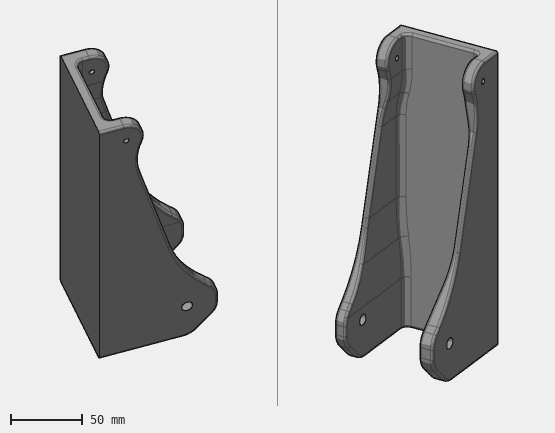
import cadquery as cq
import math

WIDTH = 80.0
DEPTH = 88.0
HEIGHT = 229.5

BACK_THICKNESS = 8.0
TOP_WALL = 9.99
MIDDLE_WALL = 5.0
LEFT_BOTTOM_WALL = 11.2
RIGHT_BOTTOM_WALL = 9.2
INNER_CORNER_RADIUS = 5.0
EDGE_RADIUS = 2.0

LOWER_BEND = (40.0, 101.5)
UPPER_BEND = (165.3, 202.0)

BOTTOM_HOLE_DIAMETER = 8.3
BOTTOM_HOLE_Y = 65.0
BOTTOM_HOLE_Z = 30.0
BEVEL = 20.0
BEVEL_RADIUS = 15.0

SLOPE_ANGLE = math.radians(15)
SLOPE_FOOT_Y = 60.0
SLOPE_FOOT_RADIUS = 103.3

TOP_HOLE_DIAMETER = 4.0
TOP_HOLE_Y = 20.0
TOP_HOLE_Z = 214.7
EAR_RADIUS = 15.0
EAR_CENTRE_Y = 18.1
EAR_CENTRE = cq.Vector(EAR_CENTRE_Y, HEIGHT - EAR_RADIUS)
NECK_RADIUS = 48.2

CUT_MARGIN = 11.5


def unit(angle):
    return cq.Vector(math.cos(angle), math.sin(angle))


def xy(point):
    return point.x, point.y


def rounded_corner(before, corner, after, radius):
    """Start, middle and end of the arc that rounds a corner of an outline."""
    back = (before - corner).normalized()
    ahead = (after - corner).normalized()
    half_angle = back.getAngle(ahead) / 2
    setback = radius / math.tan(half_angle)
    centre_distance = radius / math.sin(half_angle)
    middle = corner + (back + ahead).normalized() * (centre_distance - radius)
    return corner + back * setback, middle, corner + ahead * setback


def side_outline():
    """Side wall outline, with local x along Y and local y along Z."""
    upper_bevel_z = 2 * BOTTOM_HOLE_Z - BEVEL
    slope_foot = cq.Vector(SLOPE_FOOT_Y, upper_bevel_z + DEPTH - SLOPE_FOOT_Y)
    uphill = unit(math.pi / 2 + SLOPE_ANGLE)
    outward = unit(SLOPE_ANGLE)

    ear_offset = (EAR_CENTRE - slope_foot).dot(outward)
    across = NECK_RADIUS - ear_offset
    along = math.sqrt((NECK_RADIUS + EAR_RADIUS) ** 2 - across**2)
    neck_centre = EAR_CENTRE + outward * across - uphill * along
    neck_start = neck_centre - outward * NECK_RADIUS
    ear_direction = (neck_centre - EAR_CENTRE).normalized()
    neck_end = EAR_CENTRE + ear_direction * EAR_RADIUS
    ear_top = EAR_CENTRE + cq.Vector(0, EAR_RADIUS)

    corners = [
        cq.Vector(0, 0),
        cq.Vector(DEPTH - BEVEL, 0),
        cq.Vector(DEPTH, BEVEL),
        cq.Vector(DEPTH, upper_bevel_z),
        slope_foot,
        neck_start,
    ]
    radii = [BEVEL_RADIUS, BEVEL_RADIUS, BEVEL_RADIUS, SLOPE_FOOT_RADIUS]

    outline = cq.Workplane("YZ", origin=(-WIDTH / 2, 0, 0)).moveTo(0, 0)
    for before, corner, after, radius in zip(corners, corners[1:], corners[2:], radii):
        start, middle, end = rounded_corner(before, corner, after, radius)
        outline = outline.lineTo(*xy(start))
        outline = outline.threePointArc(xy(middle), xy(end))
    outline = outline.lineTo(*xy(neck_start))
    outline = outline.tangentArcPoint(xy(neck_end), relative=False)
    outline = outline.tangentArcPoint(xy(ear_top), relative=False)
    return outline.lineTo(0, HEIGHT).close()


def bend(profile, start, end):
    """Add an S-bend of two equal arcs between two upright lines."""
    middle = ((start[0] + end[0]) / 2, (start[1] + end[1]) / 2)
    profile = profile.lineTo(*start)
    profile = profile.tangentArcPoint(middle, relative=False)
    return profile.tangentArcPoint(end, relative=False)


def channel():
    """Space between the side walls, open at the top, bottom and +Y side."""
    left_bottom = -WIDTH / 2 + LEFT_BOTTOM_WALL
    right_bottom = WIDTH / 2 - RIGHT_BOTTOM_WALL
    middle = WIDTH / 2 - MIDDLE_WALL
    top = WIDTH / 2 - TOP_WALL
    lower_start, lower_end = LOWER_BEND
    upper_start, upper_end = UPPER_BEND

    profile = cq.Workplane("XZ", origin=(0, BACK_THICKNESS, 0))
    profile = profile.moveTo(left_bottom, -CUT_MARGIN).lineTo(right_bottom, -CUT_MARGIN)
    profile = bend(profile, (right_bottom, lower_start), (middle, lower_end))
    profile = bend(profile, (middle, upper_start), (top, upper_end))
    profile = profile.lineTo(top, HEIGHT + CUT_MARGIN).lineTo(-top, HEIGHT + CUT_MARGIN)
    profile = bend(profile, (-top, upper_end), (-middle, upper_start))
    profile = bend(profile, (-middle, lower_end), (left_bottom, lower_start))
    space = profile.close().extrude(-DEPTH)
    return space.faces("<Y").edges("not |X").fillet(INNER_CORNER_RADIUS)


def cross_hole(y, z, diameter):
    """Pin running across both side walls."""
    plane = cq.Workplane("YZ", origin=(-WIDTH / 2, 0, 0))
    return plane.center(y, z).circle(diameter / 2).extrude(WIDTH)


body = side_outline().extrude(WIDTH).cut(channel())

for side in ("<X", ">X"):
    body = body.faces(side).edges("<Z").fillet(EDGE_RADIUS)
body = body.edges(cq.NearestToPointSelector((0, BACK_THICKNESS, 0))).fillet(EDGE_RADIUS)

body = body.cut(cross_hole(BOTTOM_HOLE_Y, BOTTOM_HOLE_Z, BOTTOM_HOLE_DIAMETER))
body = body.cut(cross_hole(TOP_HOLE_Y, TOP_HOLE_Z, TOP_HOLE_DIAMETER))

result = body